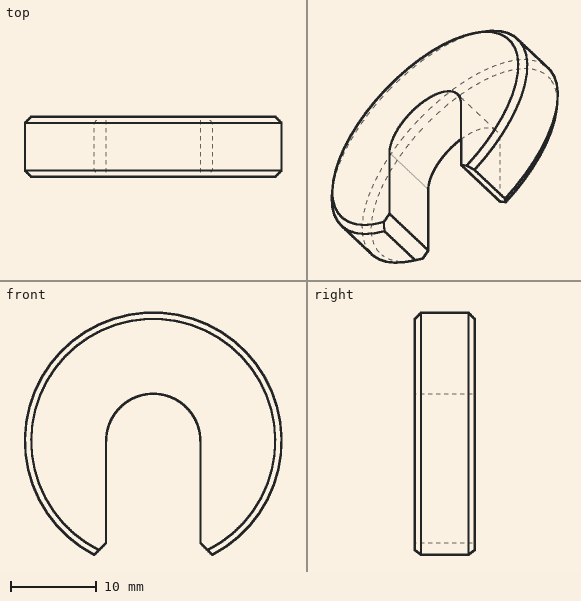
import cadquery as cq

outer_diameter = 29.95
thickness = 7.0
rim_chamfer = 0.75
slot_width = 10.95
bevel_start_depth = 11.9

outer_radius = outer_diameter / 2
slot_radius = slot_width / 2
cut_depth = outer_radius + rim_chamfer
mouth_half_width = slot_radius + cut_depth - bevel_start_depth


def chamfered_disc():
    """Disc centred on the origin with both rims chamfered."""
    disc = cq.Workplane("XZ").circle(outer_radius).extrude(thickness / 2, both=True)
    return disc.edges().chamfer(rim_chamfer)


def slot_cutter():
    """Round-topped slot through the thickness, flaring at its mouth."""
    return (
        cq.Workplane("XZ")
        .moveTo(-slot_radius, 0)
        .threePointArc((0, slot_radius), (slot_radius, 0))
        .lineTo(slot_radius, -bevel_start_depth)
        .lineTo(mouth_half_width, -cut_depth)
        .lineTo(-mouth_half_width, -cut_depth)
        .lineTo(-slot_radius, -bevel_start_depth)
        .close()
        .extrude(thickness, both=True)
    )


result = chamfered_disc().cut(slot_cutter())